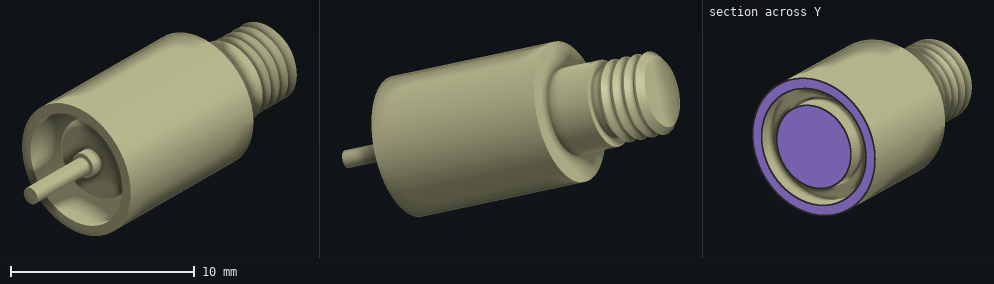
import cadquery as cq

total_length = 19.81
pin_overhang = 3.8
sleeve_length = 10.2
shoulder_length = 2.5

sleeve_diameter = 7.82
bore_diameter = 6.62
bore_depth = 3.96

insert_diameter = 4.75
insert_face_depth = 1.25
insert_face_diameter = 4.0
groove_diameter = 5.07

shoulder_diameter = 4.83

pin_diameter = 1.0
collar_diameter = 1.47
collar_end_depth = 0.55

thread_crest_diameter = 4.64
thread_root_diameter = 3.88
thread_ring_count = 4
neck_length = 0.44

pin_tip_y = -pin_overhang
shoulder_end_y = sleeve_length + shoulder_length
thread_start_y = shoulder_end_y + neck_length
threaded_end_y = pin_tip_y + total_length
thread_pitch = (threaded_end_y - thread_start_y) / thread_ring_count


def rod(diameter, start_y, end_y):
    """Cylinder on the Y axis between two positions."""
    return (
        cq.Workplane("XZ", origin=(0, start_y, 0))
        .circle(diameter / 2)
        .extrude(start_y - end_y)
    )


def make_sleeve():
    """Sleeve with a blind bore and a V groove in the bore floor, around the insert."""
    sleeve = rod(sleeve_diameter, 0, sleeve_length)
    sleeve = sleeve.cut(rod(bore_diameter, 0, bore_depth))
    inner_radius = insert_diameter / 2
    outer_radius = groove_diameter / 2
    groove_depth = outer_radius - inner_radius
    groove = (
        cq.Workplane("XY")
        .moveTo(inner_radius, bore_depth)
        .lineTo(outer_radius, bore_depth)
        .lineTo(inner_radius, bore_depth + groove_depth)
        .close()
        .revolve(360, (0, 0, 0), (0, 1, 0))
    )
    return sleeve.cut(groove)


def make_insert():
    """Cylinder on the bore floor with its front edge rounded down to the flat face."""
    edge_radius = (insert_diameter - insert_face_diameter) / 2
    insert = rod(insert_diameter, insert_face_depth, bore_depth)
    return insert.faces("<Y").edges().fillet(edge_radius)


def make_contact():
    """Contact pin standing on its collar."""
    collar = rod(collar_diameter, collar_end_depth, insert_face_depth)
    pin = rod(pin_diameter, pin_tip_y, insert_face_depth)
    return collar.union(pin)


def make_threaded_end():
    """Relief neck followed by V-shaped rings up to the end face."""
    root_radius = thread_root_diameter / 2
    crest_radius = thread_crest_diameter / 2
    outline = (
        cq.Workplane("XY")
        .moveTo(0, shoulder_end_y)
        .lineTo(root_radius, shoulder_end_y)
        .lineTo(root_radius, thread_start_y)
    )
    for ring in range(thread_ring_count):
        ring_start_y = thread_start_y + ring * thread_pitch
        outline = outline.lineTo(crest_radius, ring_start_y + thread_pitch / 2)
        outline = outline.lineTo(root_radius, ring_start_y + thread_pitch)
    return outline.lineTo(0, threaded_end_y).close().revolve(360, (0, 0, 0), (0, 1, 0))


shoulder = rod(shoulder_diameter, sleeve_length, shoulder_end_y)

result = (
    make_sleeve()
    .union(make_insert())
    .union(make_contact())
    .union(shoulder)
    .union(make_threaded_end())
)